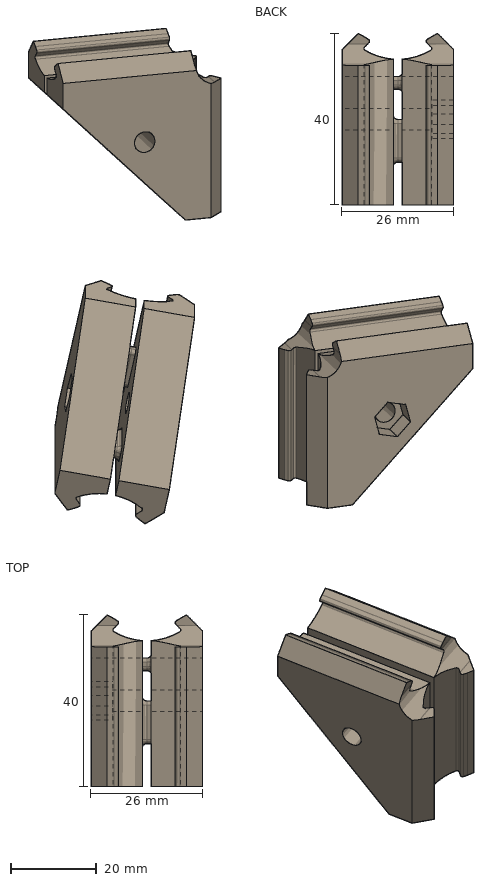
import cadquery as cq
import math

WIDTH = 26.0
SIZE = 40.0
GAP = 2.0
HALF_WIDTH = WIDTH / 2
INNER = GAP / 2

END_LENGTH = 10.0
NOTCH_DEPTH = 7.45
NOTCH_RADIUS = 5.0

BEVEL = 3.75
LIP_BREAK = (5.3, 0.85)
LIP_TOP_RADIUS = 15.0
LIP_TIP = (6.7, 1.75)
GROOVE_RADIUS = 15.0
GROOVE_DEPTH = 6.0
EDGE_RADIUS = 0.5

SCREW_CENTRE = SIZE / 2
SCREW_DIAMETER = 5.0
NUT_FLATS = 8.0
NUT_DEPTH = 5.0
NUT_TURN = -15.0

KEY_LENGTH = 10.0
KEY_HEIGHT = 3.0
KEY_CORNER_RADIUS = 1.0
KEY_ROOT_RADIUS = 1.1
KEY_OFFSET = 10.0
KEY_START = 20.0


def undercut_root():
    """Point where the 45 degree undercut meets the groove, as (x, depth)."""
    centre_depth = GROOVE_DEPTH - GROOVE_RADIUS
    line_sum = LIP_TIP[0] - HALF_WIDTH + LIP_TIP[1]
    offset = line_sum - centre_depth
    x = (offset - math.sqrt(2 * GROOVE_RADIUS**2 - offset**2)) / 2
    return x, line_sum - x


def groove_point(x):
    """Point of the groove at a given x, as (x, depth)."""
    return x, GROOVE_DEPTH - GROOVE_RADIUS + math.sqrt(GROOVE_RADIUS**2 - x**2)


def bowed_midpoint(start, end, radius):
    """Midpoint of a shallow arc from start to end that bulges towards the crest."""
    chord_x = end[0] - start[0]
    chord_z = end[1] - start[1]
    chord = math.hypot(chord_x, chord_z)
    sagitta = radius - math.sqrt(radius**2 - (chord / 2) ** 2)
    mid_x = (start[0] + end[0]) / 2 - chord_z / chord * sagitta
    mid_z = (start[1] + end[1]) / 2 + chord_x / chord * sagitta
    return mid_x, mid_z


def make_rail():
    """Left half of the clamp as a straight bar along Y, with its crest at Z = SIZE."""

    def below_crest(point):
        return point[0], SIZE - point[1]

    crest = (BEVEL - HALF_WIDTH, SIZE)
    lip_break = (LIP_BREAK[0] - HALF_WIDTH, SIZE - LIP_BREAK[1])
    lip_tip = (LIP_TIP[0] - HALF_WIDTH, SIZE - LIP_TIP[1])
    root = below_crest(undercut_root())

    bar = (
        cq.Workplane("XZ")
        .moveTo(-HALF_WIDTH, 0)
        .lineTo(-HALF_WIDTH, SIZE - BEVEL)
        .lineTo(*crest)
        .threePointArc(bowed_midpoint(crest, lip_break, LIP_TOP_RADIUS), lip_break)
        .threePointArc(bowed_midpoint(lip_break, lip_tip, LIP_TOP_RADIUS), lip_tip)
        .lineTo(*root)
        .threePointArc(
            below_crest(groove_point((root[0] - INNER) / 2)),
            below_crest(groove_point(-INNER)),
        )
        .lineTo(-INNER, 0)
        .close()
        .extrude(-SIZE)
    )
    for x, z in (lip_tip, root):
        edge = bar.edges("|Y").edges(cq.NearestToPointSelector((x, SIZE / 2, z)))
        bar = edge.fillet(EDGE_RADIUS)
    return bar


def swap_y_and_z(shape):
    """Mirror a shape in the diagonal plane Y = Z."""
    turned = shape.rotate((0, 0, 0), (1, 0, 0), 90)
    return turned.mirror("XZ")


def make_side_outline():
    """Block with the side outline of a jaw: sloping side and notched corner."""
    ledge = SIZE - NOTCH_DEPTH
    arc_end = ledge + NOTCH_RADIUS
    arc_middle = arc_end - NOTCH_RADIUS * math.sqrt(0.5)
    return (
        cq.Workplane("YZ", origin=(-HALF_WIDTH, 0, 0))
        .moveTo(0, SIZE - END_LENGTH)
        .lineTo(0, SIZE)
        .lineTo(ledge, SIZE)
        .lineTo(ledge, arc_end)
        .threePointArc((arc_middle, arc_middle), (arc_end, ledge))
        .lineTo(SIZE, ledge)
        .lineTo(SIZE, 0)
        .lineTo(SIZE - END_LENGTH, 0)
        .close()
        .extrude(HALF_WIDTH)
    )


def make_key():
    """Key of the left jaw, long in Y, from its flared root to the face of the right jaw."""
    root_x = -KEY_ROOT_RADIUS
    centre_y = SIZE - KEY_START - KEY_LENGTH / 2
    centre_z = SIZE - KEY_OFFSET - KEY_HEIGHT / 2
    base_margin = 4 * KEY_ROOT_RADIUS
    start = cq.Workplane("YZ", origin=(root_x, centre_y, centre_z))
    key = start.rect(KEY_LENGTH, KEY_HEIGHT).extrude(INNER - root_x)
    key = key.edges("|X").fillet(KEY_CORNER_RADIUS)
    base = start.rect(KEY_LENGTH + base_margin, KEY_HEIGHT + base_margin).extrude(-KEY_ROOT_RADIUS)
    reach_x = KEY_ROOT_RADIUS / 4
    reach_y = (KEY_LENGTH + KEY_ROOT_RADIUS) / 2
    reach_z = (KEY_HEIGHT + KEY_ROOT_RADIUS) / 2
    root_edges = cq.selectors.BoxSelector(
        (root_x - reach_x, centre_y - reach_y, centre_z - reach_z),
        (root_x + reach_x, centre_y + reach_y, centre_z + reach_z),
    )
    return base.union(key).edges(root_edges).fillet(KEY_ROOT_RADIUS)


def make_left_jaw():
    """Jaw with two square-set rails, the screw hole and the key, without the nut pocket."""
    rail = make_rail()
    jaw = rail.intersect(swap_y_and_z(rail)).intersect(make_side_outline())
    screw_hole = (
        cq.Workplane("YZ", origin=(-HALF_WIDTH, SCREW_CENTRE, SCREW_CENTRE))
        .circle(SCREW_DIAMETER / 2)
        .extrude(HALF_WIDTH)
    )
    return jaw.cut(screw_hole).union(make_key())


def make_nut_pocket():
    """Hexagonal pocket in the outer side of the left jaw."""
    return (
        cq.Workplane("YZ", origin=(-HALF_WIDTH, SCREW_CENTRE, SCREW_CENTRE))
        .transformed(rotate=(0, 0, NUT_TURN))
        .polygon(6, NUT_FLATS, circumscribed=True)
        .extrude(NUT_DEPTH)
    )


plain_jaw = make_left_jaw()
nut_jaw = plain_jaw.cut(make_nut_pocket())
screw_jaw = swap_y_and_z(plain_jaw.mirror("YZ"))

result = cq.Compound.makeCompound([nut_jaw.val(), screw_jaw.val()])